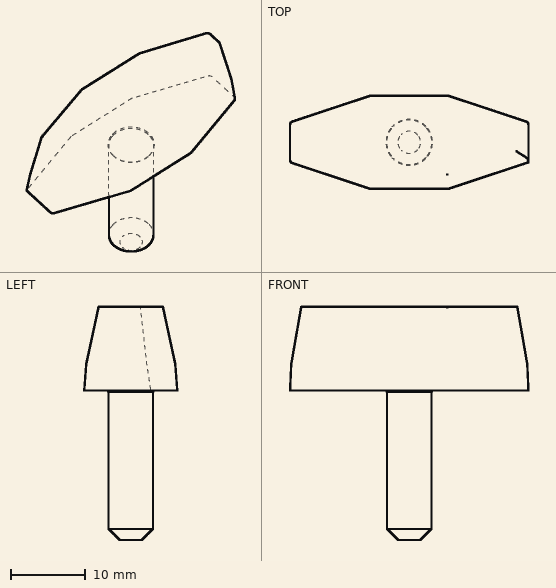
import cadquery as cq

overall_length = 32.0
overall_width = 12.5
overall_height = 31.3

head_height = 11.25
crease_height = 3.55
corner_radius = 0.48
top_edge_radius = 0.2
tolerance = 0.0003

stud_diameter = 6.0
stud_length = overall_height - head_height
tip_chamfer = 1.5
collar_flare = 0.1
collar_height = 0.2


def is_sharp_corner(vertex, half_length):
    """True for the one end corner, at +X and -Y, that stays unrounded."""
    at_end = abs(vertex.X - half_length) < tolerance
    return at_end and vertex.Y < 0


def head_section(z, half_length, half_width, half_flat, half_end):
    """Octagon, rounded at all corners but one, with long flats along X and short ends along Y."""
    corners = [
        (half_flat, half_width),
        (-half_flat, half_width),
        (-half_length, half_end),
        (-half_length, -half_end),
        (-half_flat, -half_width),
        (half_flat, -half_width),
        (half_length, -half_end),
        (half_length, half_end),
    ]
    points = [cq.Vector(x, y, z) for x, y in corners]
    outline = cq.Wire.makePolygon(points, close=True)
    rounded = [v for v in outline.Vertices() if not is_sharp_corner(v, half_length)]
    return outline.fillet2D(corner_radius, rounded)


def make_head():
    """Steep skirt below the crease, stronger taper above it."""
    bottom = head_section(0, overall_length / 2, overall_width / 2, half_flat=5.25, half_end=2.7)
    crease = head_section(crease_height, half_length=15.85, half_width=6.0, half_flat=5.2, half_end=2.15)
    top = head_section(head_height, half_length=14.5, half_width=4.32, half_flat=5.02, half_end=1.28)
    head = cq.Workplane(cq.Solid.makeLoft([bottom, crease, top], ruled=True))
    return head.faces(">Z").edges().fillet(top_edge_radius)


def make_stud():
    """Round stud with a chamfered tip and a small flare below the head."""
    radius = stud_diameter / 2
    stud = cq.Workplane().circle(radius).extrude(-stud_length)
    stud = stud.faces("<Z").chamfer(tip_chamfer)
    flare = cq.Solid.makeCone(
        radius + collar_flare, radius, collar_height, dir=cq.Vector(0, 0, -1)
    )
    return stud.union(cq.Workplane(flare))


result = make_head().union(make_stud())